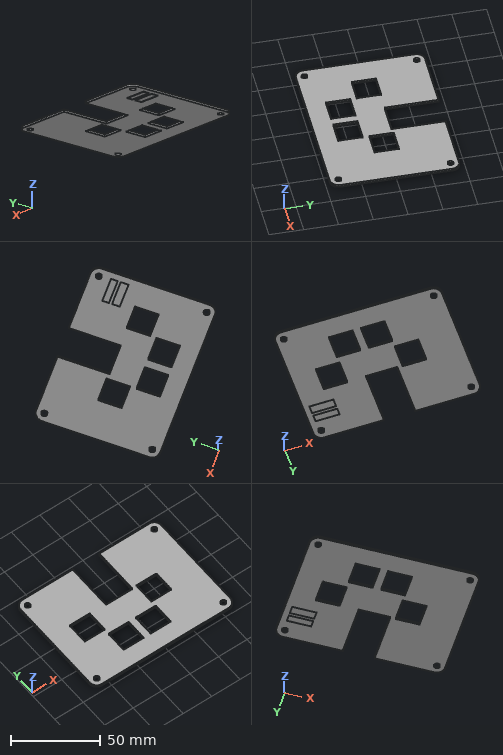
import cadquery as cq

length = 99.0
width = 74.3
plate_thickness = 1.5
corner_radius = 4.95

hole_diameter = 3.4

notch_width = 18.5
notch_depth = 31.1
notch_center_x = 0.2

window_side = 14.0
window_axis_x = -3.8
outer_pair_spacing = 46.8
inner_pair_spacing = 19.0
outer_pair_y = -0.4
inner_pair_y = -18.2

strip_height = 0.2
strip_length = 14.3
strip_center_x = -38.4
upper_strip_width = 4.0
upper_strip_y = 23.3
lower_strip_width = 4.7
lower_strip_y = 17.1


def make_plate():
    """Rounded plate with its underside on Z = 0."""
    plate = cq.Workplane("XY").rect(length, width).extrude(plate_thickness)
    return plate.edges("|Z").fillet(corner_radius)


def make_mounting_holes():
    """Four through holes, one at each corner."""
    spacing_x = length - 2 * corner_radius
    spacing_y = width - 2 * corner_radius
    corners = cq.Workplane("XY").rect(spacing_x, spacing_y, forConstruction=True).vertices()
    return corners.circle(hole_diameter / 2).extrude(plate_thickness)


def make_notch():
    """Rectangular cut reaching in from the +Y edge."""
    center_y = width / 2 - notch_depth / 2
    sketch = cq.Workplane("XY").center(notch_center_x, center_y)
    return sketch.rect(notch_width, notch_depth).extrude(plate_thickness)


def make_window_pair(spacing, center_y):
    """Two square through windows placed symmetrically about the window axis."""
    centers = [(window_axis_x + side * spacing / 2, center_y) for side in (-1, 1)]
    sketch = cq.Workplane("XY").pushPoints(centers)
    return sketch.rect(window_side, window_side).extrude(plate_thickness)


def make_strip(strip_width, center_y):
    """Raised strip hanging below the underside."""
    sketch = cq.Workplane("XY").center(strip_center_x, center_y)
    return sketch.rect(strip_length, strip_width).extrude(-strip_height)


result = (
    make_plate()
    .cut(make_mounting_holes())
    .cut(make_notch())
    .cut(make_window_pair(outer_pair_spacing, outer_pair_y))
    .cut(make_window_pair(inner_pair_spacing, inner_pair_y))
    .union(make_strip(upper_strip_width, upper_strip_y))
    .union(make_strip(lower_strip_width, lower_strip_y))
)